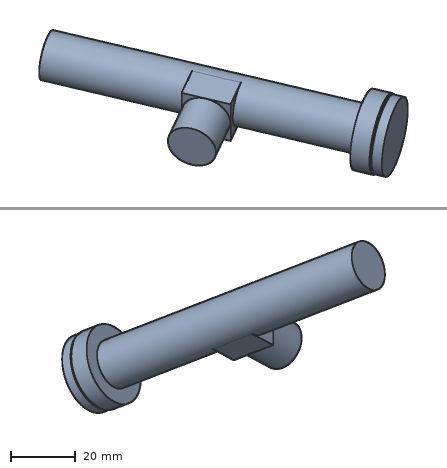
import cadquery as cq

total_length = 113.2
rod_diameter = 16.0

flange_diameter = 26.0
flange_length = 6.2
groove_diameter = 24.5
groove_width = 0.6
cap_diameter = 25.5
cap_length = 3.4

branch_x = 55.1
block_size = rod_diameter
block_reach = 10.2
stub_diameter = 15.7
stub_reach = 24.0


def cylinder_along_x(start, length, diameter):
    return cq.Workplane("YZ", origin=(start, 0, 0)).circle(diameter / 2).extrude(length)


def make_head():
    """Flange and end cap separated by a narrow groove."""
    cap_start = total_length - cap_length
    groove_start = cap_start - groove_width
    flange_start = groove_start - flange_length
    flange = cylinder_along_x(flange_start, flange_length, flange_diameter)
    groove = cylinder_along_x(groove_start, groove_width, groove_diameter)
    cap = cylinder_along_x(cap_start, cap_length, cap_diameter)
    return flange.union(groove).union(cap)


def make_branch():
    """Square block growing from the rod axis, with a round stub on its face."""
    branch_plane = cq.Workplane("XZ", origin=(branch_x, 0, 0))
    block = branch_plane.rect(block_size, block_size).extrude(block_reach)
    stub = branch_plane.circle(stub_diameter / 2).extrude(stub_reach)
    return block.union(stub)


rod = cylinder_along_x(0, total_length, rod_diameter)
result = rod.union(make_head()).union(make_branch())